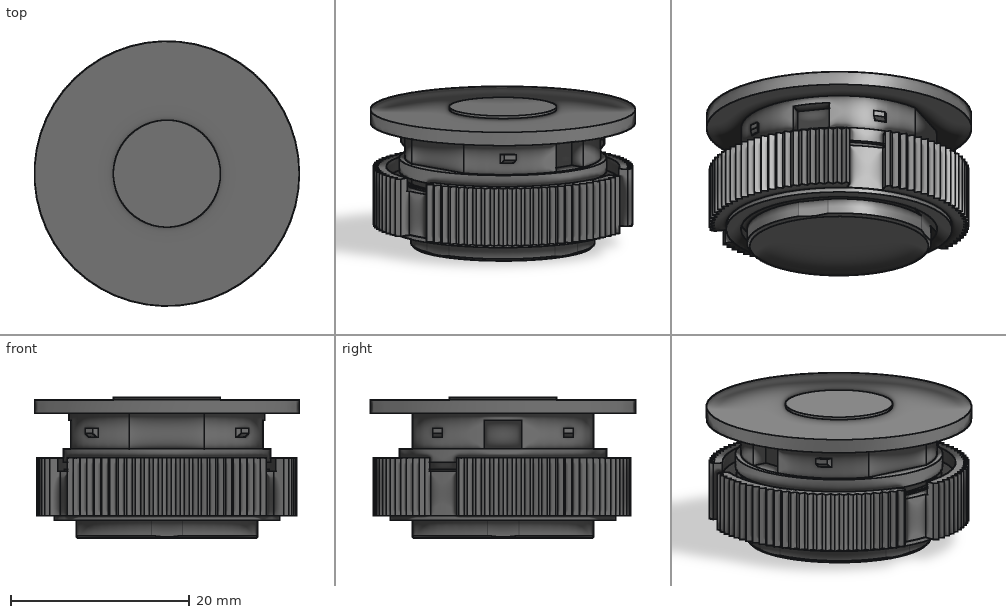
import cadquery as cq
import math

NUT_BOTTOM = 2.0
KNURL_BOTTOM = 2.5
NUT_LEDGE_Z = 7.48
NUT_LIP_TOP = 7.7
SEAL_BOTTOM = 8.5
NUT_TOP = 9.0
SEAL_TOP = 10.0
BUMP_BOTTOM = 11.32
BUMP_TAPER_TOP = 11.73
BUMP_TOP = 12.33
WINDOW_TOP = 13.2
PLATE_BOTTOM = 14.0
PLATE_TOP = 15.5
TOTAL_HEIGHT = 15.8

BUTTON_RADIUS = 6.0
PLATE_RADIUS = 14.85
NECK_RADIUS = 11.0
FOOT_RADIUS = 10.3
FOOT_CHAMFER = 0.3
FLAT_DISTANCE = 10.15
WINDOW_WIDTH = 4.25
WINDOW_FLOOR = 8.9
BUMP_RADIUS = 11.43
BUMP_TAPER = 0.33
BUMP_WIDTH = 1.0
BUMP_OFFSET = 7.35

SEAL_RADIUS = 11.6

RIM_RADIUS = 12.65
LIP_RADIUS = 11.5
RECESS_RADIUS = 13.07
TOOTH_COUNT = 90
TOOTH_TIP_RADIUS = 14.55
TOOTH_ROOT_RADIUS = 14.0
SLOT_COUNT = 3
SLOT_WIDTH = 4.1
SLOT_FLOOR_RADIUS = 12.8
FIRST_SLOT_ANGLE = 90.0


def disc(radius, bottom, top):
    """Upright cylinder on the Z axis between two heights."""
    return cq.Workplane("XY").workplane(offset=bottom).circle(radius).extrude(top - bottom)


def block(size_x, size_y, bottom, top):
    """Box centred on the Z axis between two heights."""
    return cq.Workplane("XY").workplane(offset=bottom).rect(size_x, size_y).extrude(top - bottom)


def make_neck(bottom, top):
    """Length of the neck, a cylinder with flats on its -Y and +Y sides."""
    between_flats = block(2 * NECK_RADIUS, 2 * FLAT_DISTANCE, bottom, top)
    return disc(NECK_RADIUS, bottom, top).intersect(between_flats)


def make_windows():
    """Cutter for the blind flat-floored windows in the -X and +X sides of the neck."""
    across = block(2 * NECK_RADIUS, WINDOW_WIDTH, SEAL_TOP, WINDOW_TOP)
    return across.cut(block(2 * WINDOW_FLOOR, WINDOW_WIDTH, SEAL_TOP, WINDOW_TOP))


def make_bumps():
    """Snap bumps: straight-sided pieces of a ring whose lower edge tapers inward."""
    ring = (
        cq.Workplane("XZ")
        .moveTo(0, BUMP_BOTTOM)
        .lineTo(BUMP_RADIUS - BUMP_TAPER, BUMP_BOTTOM)
        .lineTo(BUMP_RADIUS, BUMP_TAPER_TOP)
        .lineTo(BUMP_RADIUS, BUMP_TOP)
        .lineTo(0, BUMP_TOP)
        .close()
        .revolve(360, (0, 0, 0), (0, 1, 0))
    )
    strips = (
        cq.Workplane("XY")
        .workplane(offset=BUMP_BOTTOM)
        .pushPoints([(0, BUMP_OFFSET), (0, -BUMP_OFFSET)])
        .rect(2 * BUMP_RADIUS, BUMP_WIDTH)
        .extrude(BUMP_TOP - BUMP_BOTTOM)
    )
    return ring.intersect(strips)


def make_foot():
    """Foot with four flats, chamfered around its round underside."""
    foot = disc(FOOT_RADIUS, 0, NUT_BOTTOM).faces("<Z").chamfer(FOOT_CHAMFER)
    return foot.intersect(block(2 * FLAT_DISTANCE, 2 * FLAT_DISTANCE, 0, NUT_BOTTOM))


def make_housing():
    neck = make_neck(NUT_BOTTOM, PLATE_BOTTOM)
    plate = disc(PLATE_RADIUS, PLATE_BOTTOM, PLATE_TOP)
    button = disc(BUTTON_RADIUS, PLATE_TOP, TOTAL_HEIGHT)
    housing = neck.union(make_bumps()).cut(make_windows())
    return housing.union(make_foot()).union(plate).union(button)


def make_seal():
    seal = disc(SEAL_RADIUS, SEAL_BOTTOM, SEAL_TOP)
    return seal.cut(make_neck(SEAL_BOTTOM, SEAL_TOP))


def knurl_points():
    """Corners of the knurl, a tip and a root for each tooth, with a tip on +X."""
    points = []
    for step in range(2 * TOOTH_COUNT):
        radius = TOOTH_TIP_RADIUS if step % 2 == 0 else TOOTH_ROOT_RADIUS
        angle = math.pi * step / TOOTH_COUNT
        points.append((radius * math.cos(angle), radius * math.sin(angle)))
    return points


def make_slot_cutter(angle):
    """Straight-sided radial slot with a round floor, turned to the given angle."""
    slot = (
        cq.Workplane("XY")
        .workplane(offset=KNURL_BOTTOM)
        .center(TOOTH_TIP_RADIUS / 2, 0)
        .rect(TOOTH_TIP_RADIUS, SLOT_WIDTH)
        .extrude(NUT_TOP - KNURL_BOTTOM)
    )
    core = disc(SLOT_FLOOR_RADIUS, KNURL_BOTTOM, NUT_TOP)
    return slot.cut(core).rotate((0, 0, 0), (0, 0, 1), angle)


def make_nut():
    nut = (
        cq.Workplane("XY")
        .workplane(offset=KNURL_BOTTOM)
        .polyline(knurl_points())
        .close()
        .extrude(NUT_TOP - KNURL_BOTTOM)
    )
    nut = nut.cut(disc(RECESS_RADIUS, NUT_LEDGE_Z, NUT_TOP))
    for index in range(SLOT_COUNT):
        nut = nut.cut(make_slot_cutter(FIRST_SLOT_ANGLE + index * 360 / SLOT_COUNT))
    nut = nut.union(disc(LIP_RADIUS, NUT_LEDGE_Z, NUT_LIP_TOP))
    nut = nut.union(disc(RIM_RADIUS, NUT_BOTTOM, KNURL_BOTTOM))
    return nut.cut(disc(NECK_RADIUS, NUT_BOTTOM, NUT_LIP_TOP))


housing = make_housing()
seal = make_seal()
nut = make_nut()

result = cq.Compound.makeCompound([body.solids().val() for body in (housing, seal, nut)])